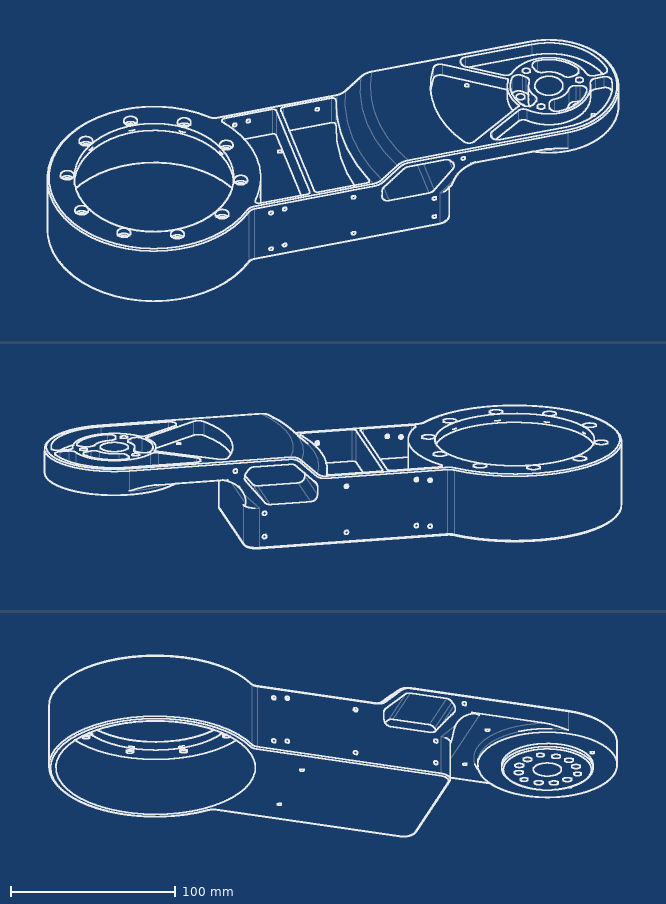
import cadquery as cq
import math

LENGTH = 357.5
RING_R = 65.0
ARM_R = 42.5
PIVOT_Y = LENGTH - RING_R - ARM_R
TOP_Z = 57.5
RING_TOP_Z = 43.5
EDGE_CHAMFER = 1.0
JUNCTION_FILLET = 5.5
CUT_MARGIN = 18.0
TOLERANCE = 0.05

STEP_TOP_R = 112.5
STEP_TOP_FILLET = 9.0
STEP_BOTTOM_FILLET = 7.0

PLATE_BOTTOM_Z = 46.0
HEEL_Y = 177.0
HEEL_ARC_R = 16.8
HEEL_CORNER_R = 8.2
HEEL_CORNER_TOP_Z = 26.5
DISC_BOTTOM_Z = 41.0
DISC_FILLET = 2.5
BOSS_R = 28.0
BOSS_BOTTOM_Z = 38.0

BORE_R = 48.5
HOUSING_R = 60.8
FLANGE_T = 5.7
BOLT_COUNT = 10
BOLT_CIRCLE_R = 53.0
BOLT_D = 4.5
BOLT_HEAD_D = 8.2
BOLT_HEAD_DEPTH = 4.3

BODY_POCKET_HALF_W = 39.7
BODY_POCKET_FLOOR_Z = 23.2
BODY_POCKET_TOP_R = 129.8
BODY_POCKET_CORNER_R = 2.0
RIB_Y = 89.5
RIB_T = 3.0

HEAD_FLOOR_Z = 48.5
HEAD_POCKET_R = 38.5
HEAD_POCKET_END = 46.0
HEAD_POCKET_CORNER_R = 4.0
HUB_R = 25.5
HUB_BORE_R = 8.5
SPOKE_T = 2.5
SPOKE_ANGLE = 34.0
SPOKE_OFFSET = 4.0
FAN_R = 72.2
FAN_CORNER_R = 4.3
RECESS_INNER_R = 12.5
RECESS_OUTER_R = 23.5
RECESS_HALF_ANGLE = 45.0
RECESS_CORNER_R = 4.3
RECESS_FLOOR_Z = 44.5
HUB_BOLT_R = 18.0
HUB_BOLT_D = 5.5
HUB_PIN_R = 19.3
HUB_PIN_D = 4.5

WINDOW_DEPTH = 35.8
WINDOW_BOTTOM_Z = 28.2
WINDOW_TOP_Z = 53.3
WINDOW_CORNER_R = 4.3
WINDOW_POINTS = [
    (132.5, WINDOW_BOTTOM_Z),
    (164.0, WINDOW_BOTTOM_Z),
    (179.0, 47.0),
    (174.5, WINDOW_TOP_Z),
    (147.3, WINDOW_TOP_Z),
    (132.3, 39.0),
]
FLOOR_HOLE_YS = (86.0, PIVOT_Y - 45.5, PIVOT_Y + 21.5)
SIDE_HOLES = [
    (62.2, 6.8),
    (62.2, 36.5),
    (70.8, 8.0),
    (70.8, 37.5),
    (114.5, 6.8),
    (114.5, 36.5),
    (165.5, 8.0),
    (165.5, 23.0),
    (183.8, 51.5),
]
SMALL_HOLE_D = 2.5
SMALL_HOLE_DEPTH = 7.0
SMALL_HOLE_X = 23.2


def polar(radius, degrees):
    a = math.radians(degrees)
    return (radius * math.cos(a), radius * math.sin(a))


def cylinder(radius, z0, z1, y=0.0):
    return cq.Workplane("XY", origin=(0, y, z0)).circle(radius).extrude(z1 - z0)


def box(x0, x1, y0, y1, z0, z1):
    return cq.Workplane("XY").box(x1 - x0, y1 - y0, z1 - z0, centered=False).translate((x0, y0, z0))


def outline_body():
    """Full-height plan outline of ring and arm, with rounded inner corners where they meet."""
    arm = box(-ARM_R, ARM_R, 0, PIVOT_Y, 0, TOP_Z)
    body = arm.union(cylinder(ARM_R, 0, TOP_Z, PIVOT_Y)).union(cylinder(RING_R, 0, TOP_Z))
    junction_y = math.sqrt(RING_R**2 - ARM_R**2)
    for x in (-ARM_R, ARM_R):
        junction = cq.selectors.NearestToPointSelector((x, junction_y, TOP_Z / 2))
        body = body.edges(junction).fillet(JUNCTION_FILLET)
    return body


def step_cutter():
    """Space above the ring level and outside the 45 degree cone, with both bends rounded."""
    bottom_r = STEP_TOP_R + TOP_Z - RING_TOP_Z
    top_run = STEP_TOP_FILLET * math.tan(math.pi / 8)
    bottom_run = STEP_BOTTOM_FILLET * math.tan(math.pi / 8)
    slope = math.sin(math.pi / 4)
    mid_r = math.sin(math.pi / 8)
    mid_z = 1 - math.cos(math.pi / 8)
    top_start = STEP_TOP_R - top_run
    bottom_end = bottom_r + bottom_run
    profile = (
        cq.Workplane("XZ")
        .moveTo(top_start, TOP_Z)
        .threePointArc(
            (top_start + STEP_TOP_FILLET * mid_r, TOP_Z - STEP_TOP_FILLET * mid_z),
            (STEP_TOP_R + top_run * slope, TOP_Z - top_run * slope),
        )
        .lineTo(bottom_r - bottom_run * slope, RING_TOP_Z + bottom_run * slope)
        .threePointArc(
            (bottom_end - STEP_BOTTOM_FILLET * mid_r, RING_TOP_Z + STEP_BOTTOM_FILLET * mid_z),
            (bottom_end, RING_TOP_Z),
        )
        .lineTo(LENGTH, RING_TOP_Z)
        .lineTo(LENGTH, TOP_Z + CUT_MARGIN)
        .lineTo(top_start, TOP_Z + CUT_MARGIN)
        .close()
    )
    return profile.revolve(360, (0, 0, 0), (0, 1, 0)).translate((0, PIVOT_Y, 0))


def underside_cutter():
    """Space below the head plate, with a quarter-round up to the heel, around the head disc."""
    arc_z = PLATE_BOTTOM_Z - HEEL_ARC_R
    arc_y = HEEL_Y + HEEL_ARC_R
    k = HEEL_ARC_R * math.sin(math.pi / 4)
    space = (
        cq.Workplane("YZ", origin=(-RING_R, 0, 0))
        .moveTo(HEEL_Y, -CUT_MARGIN)
        .lineTo(HEEL_Y, arc_z)
        .threePointArc((arc_y - k, arc_z + k), (arc_y, PLATE_BOTTOM_Z))
        .lineTo(LENGTH, PLATE_BOTTOM_Z)
        .lineTo(LENGTH, -CUT_MARGIN)
        .close()
        .extrude(2 * RING_R)
    )
    root_z = PLATE_BOTTOM_Z - DISC_FILLET
    root_r = ARM_R + DISC_FILLET
    bend = DISC_FILLET * math.sin(math.pi / 4)
    disc = (
        cq.Workplane("XZ")
        .moveTo(0, DISC_BOTTOM_Z)
        .lineTo(ARM_R, DISC_BOTTOM_Z)
        .lineTo(ARM_R, root_z)
        .threePointArc((root_r - bend, root_z + bend), (root_r, PLATE_BOTTOM_Z))
        .lineTo(0, PLATE_BOTTOM_Z)
        .close()
        .revolve(360, (0, 0, 0), (0, 1, 0))
        .translate((0, PIVOT_Y, 0))
    )
    boss = cylinder(BOSS_R, BOSS_BOTTOM_Z, TOP_Z, PIVOT_Y)
    boss = boss.faces("<Z").edges().chamfer(EDGE_CHAMFER)
    return space.cut(disc).cut(boss)


def heel_corner_cutter():
    """Material outside the rounded heel corner at +X; it leans to +Y above the upright part."""
    r = HEEL_CORNER_R
    k = r * (1 - math.sin(math.pi / 4))

    def section(z, shift):
        return (
            cq.Workplane("XY", origin=(ARM_R, HEEL_Y + shift, z))
            .moveTo(-r, 0)
            .threePointArc((-k, -k), (0, -r))
            .lineTo(CUT_MARGIN, -r)
            .lineTo(CUT_MARGIN, r)
            .lineTo(-r, r)
            .close()
        )

    upright = section(-CUT_MARGIN, 0).extrude(HEEL_CORNER_TOP_Z + CUT_MARGIN)
    rise = PLATE_BOTTOM_Z - HEEL_CORNER_TOP_Z
    wires = [
        section(HEEL_CORNER_TOP_Z, 0).wires().val(),
        section(PLATE_BOTTOM_Z, rise).wires().val(),
    ]
    leaning = cq.Workplane(cq.Solid.makeLoft(wires, True))
    return upright.union(leaning)


def body_pockets():
    """Pocket from the step to the rib, and pocket from the rib to the ring."""
    w = BODY_POCKET_HALF_W
    upper = box(-w, w, RIB_Y + RIB_T / 2, PIVOT_Y, BODY_POCKET_FLOOR_Z, TOP_Z)
    upper = upper.cut(cylinder(BODY_POCKET_TOP_R, 0, TOP_Z, PIVOT_Y))
    lower = box(-w, w, 0, RIB_Y - RIB_T / 2, BODY_POCKET_FLOOR_Z, TOP_Z)
    lower = lower.cut(cylinder(RING_R, 0, TOP_Z))
    return upper.union(lower).edges("|Z").fillet(BODY_POCKET_CORNER_R)


def ring_cutters():
    """Bore through the top flange, wider housing below it, and counterbored bolt holes."""
    head_bottom_z = RING_TOP_Z - BOLT_HEAD_DEPTH
    cuts = cylinder(BORE_R, -CUT_MARGIN, TOP_Z)
    cuts = cuts.union(cylinder(HOUSING_R, -CUT_MARGIN, RING_TOP_Z - FLANGE_T))
    for i in range(BOLT_COUNT):
        x, y = polar(BOLT_CIRCLE_R, i * 360 / BOLT_COUNT)
        cuts = cuts.union(cylinder(BOLT_D / 2, 0, TOP_Z).translate((x, y, 0)))
        cuts = cuts.union(cylinder(BOLT_HEAD_D / 2, head_bottom_z, TOP_Z).translate((x, y, 0)))
    return cuts


def sector(radius, half_angle, direction, apex_shift, z0):
    """Wedge about the pivot, its apex moved outward along its own direction."""
    reach = 2 * radius
    ax, ay = polar(apex_shift, direction)
    p1 = polar(reach, direction - half_angle)
    p2 = polar(reach, direction + half_angle)
    wedge = (
        cq.Workplane("XY", origin=(ax, ay, z0))
        .polyline([(0, 0), p1, p2])
        .close()
        .extrude(TOP_Z - z0)
    )
    return wedge.intersect(cylinder(radius, z0, TOP_Z))


def head_pockets():
    """Fan pocket and two side pockets, separated by three spokes; centred on the pivot axis."""
    hub = cylinder(HUB_R, 0, TOP_Z)
    fan = sector(FAN_R, SPOKE_ANGLE, -90, SPOKE_OFFSET, HEAD_FLOOR_Z).cut(hub)
    fan = fan.edges("|Z").edges("<Y or <X or >X").fillet(FAN_CORNER_R)

    side = cylinder(HEAD_POCKET_R, HEAD_FLOOR_Z, TOP_Z)
    side = side.union(box(-HEAD_POCKET_R, HEAD_POCKET_R, -HEAD_POCKET_END, 0, HEAD_FLOOR_Z, TOP_Z))
    spoke_shift = SPOKE_T / math.sin(math.radians(SPOKE_ANGLE)) - SPOKE_OFFSET
    spoked_fan = sector(2 * FAN_R, SPOKE_ANGLE, -90, -spoke_shift, HEAD_FLOOR_Z)
    spoke = box(-SPOKE_T / 2, SPOKE_T / 2, 0, ARM_R, HEAD_FLOOR_Z, TOP_Z)
    side = side.cut(hub).cut(spoked_fan).cut(spoke)
    right = side.intersect(box(0, ARM_R, -FAN_R, ARM_R, 0, TOP_Z))
    right = right.edges("|Z").filter(lambda e: abs(e.Center().y) > SPOKE_T).fillet(HEAD_POCKET_CORNER_R)
    return fan.union(right).union(right.mirror("YZ"))


def hub_cutters():
    """Centre bore, three recesses of three bolt holes each, and a pin hole between recesses."""
    cuts = cylinder(HUB_BORE_R, 0, TOP_Z)
    for direction in (-90, 30, 150):
        recess = sector(RECESS_OUTER_R, RECESS_HALF_ANGLE, direction, 0, RECESS_FLOOR_Z)
        recess = recess.cut(cylinder(RECESS_INNER_R, 0, TOP_Z)).edges("|Z").fillet(RECESS_CORNER_R)
        cuts = cuts.union(recess)
        for step in (-30, 0, 30):
            x, y = polar(HUB_BOLT_R, direction + step)
            cuts = cuts.union(cylinder(HUB_BOLT_D / 2, 0, TOP_Z).translate((x, y, 0)))
        x, y = polar(HUB_PIN_R, direction + 180)
        cuts = cuts.union(cylinder(HUB_PIN_D / 2, 0, TOP_Z).translate((x, y, 0)))
    return cuts


def window():
    """Six-sided blind recess in the -X side, its ends leaning along with the step."""
    return (
        cq.Workplane("YZ", origin=(-ARM_R, 0, 0))
        .polyline(WINDOW_POINTS)
        .close()
        .extrude(WINDOW_DEPTH)
        .edges("|X")
        .fillet(WINDOW_CORNER_R)
    )


def vertical_small_holes():
    """Holes through the body floor and the head plate."""
    places = [(x, y) for x in (-SMALL_HOLE_X, SMALL_HOLE_X) for y in FLOOR_HOLE_YS]
    return cq.Workplane("XY").pushPoints(places).circle(SMALL_HOLE_D / 2).extrude(TOP_Z)


def side_small_holes():
    """Blind holes in the -X side; the upper ones near the pockets break through the pocket wall."""
    plane = cq.Workplane("YZ", origin=(-ARM_R, 0, 0))
    return plane.pushPoints(SIDE_HOLES).circle(SMALL_HOLE_D / 2).extrude(SMALL_HOLE_DEPTH)


def on_top_rim(edge):
    """True for edges of the plan outline at or above the ring level, not for step lines across the arm."""
    bounds = edge.BoundingBox()
    if bounds.zmin < RING_TOP_Z - TOLERANCE:
        return False
    along_side = bounds.xlen < TOLERANCE
    rounded = edge.geomType() == "CIRCLE" and edge.radius() < RING_R + TOLERANCE
    return along_side or rounded


body = outline_body().cut(step_cutter())
body = body.edges().filter(on_top_rim).chamfer(EDGE_CHAMFER)
body = body.cut(underside_cutter())
heel_corner = heel_corner_cutter()
body = body.cut(heel_corner).cut(heel_corner.mirror("YZ"))
body = body.faces("<Z").edges().chamfer(EDGE_CHAMFER)

body = body.cut(body_pockets()).cut(ring_cutters())
body = body.cut(head_pockets().translate((0, PIVOT_Y, 0)))
body = body.cut(hub_cutters().translate((0, PIVOT_Y, 0)))
body = body.cut(vertical_small_holes())
for side_cut in (window(), side_small_holes()):
    body = body.cut(side_cut).cut(side_cut.mirror("YZ"))

result = body